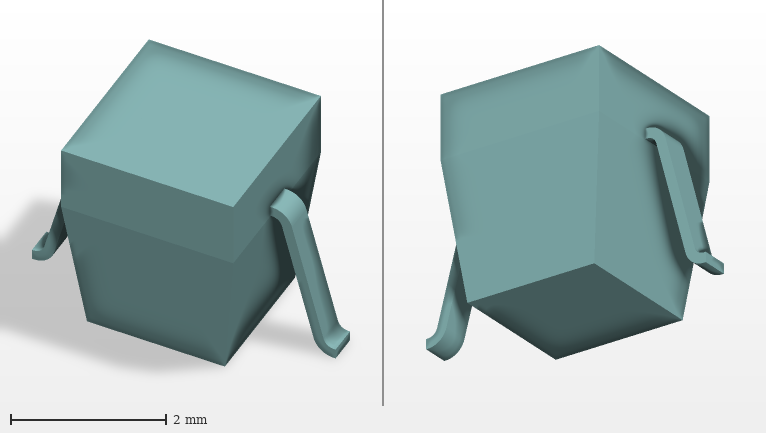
import cadquery as cq
import math

overall_length = 4.39
housing_width = 2.49
housing_height = 2.97
block_height = 0.95
base_height = housing_height - block_height
bottom_width = 1.995

lead_width = 0.41
lead_thickness = 0.15
lead_top = 2.195
inner_bend_radius = 0.15
outer_bend_radius = inner_bend_radius + lead_thickness
bend_angle = math.radians(75)

mark_diameter = 0.125
mark_depth = 0.02
mark_edge_distance = 0.25
mark_x = mark_edge_distance - housing_width / 2


def make_mark():
    return (
        cq.Workplane("XY", origin=(mark_x, 0, housing_height - mark_depth))
        .circle(mark_diameter / 2)
        .extrude(mark_depth)
    )


def make_housing(mark):
    base = (
        cq.Workplane("XY")
        .rect(bottom_width, bottom_width)
        .workplane(offset=base_height)
        .rect(housing_width, housing_width)
        .loft(ruled=True)
    )
    block = (
        cq.Workplane("XY", origin=(0, 0, base_height))
        .rect(housing_width, housing_width)
        .extrude(block_height)
    )
    return base.union(block).cut(mark)


def make_lead(side):
    """Lead on the +X (side = 1) or -X (side = -1) face of the housing."""
    root_x = housing_width / 2
    tip_x = overall_length / 2

    radius_sum = inner_bend_radius + outer_bend_radius
    bend_drop = radius_sum * (1 - math.cos(bend_angle))
    bend_reach = radius_sum * math.sin(bend_angle)
    center_drop = lead_top - lead_thickness
    leg_reach = (center_drop - bend_drop) / math.tan(bend_angle)
    flat_length = (tip_x - root_x - bend_reach - leg_reach) / 2

    upper_center = (root_x + flat_length, lead_top - outer_bend_radius)
    lower_center = (tip_x - flat_length, outer_bend_radius)

    def upper_point(radius, angle):
        x, z = upper_center
        return side * (x + radius * math.sin(angle)), z + radius * math.cos(angle)

    def lower_point(radius, angle):
        x, z = lower_center
        return side * (x - radius * math.sin(angle)), z - radius * math.cos(angle)

    half_angle = bend_angle / 2
    return (
        cq.Workplane("XZ")
        .moveTo(side * root_x, lead_top)
        .lineTo(*upper_point(outer_bend_radius, 0))
        .threePointArc(upper_point(outer_bend_radius, half_angle), upper_point(outer_bend_radius, bend_angle))
        .lineTo(*lower_point(inner_bend_radius, bend_angle))
        .threePointArc(lower_point(inner_bend_radius, half_angle), lower_point(inner_bend_radius, 0))
        .lineTo(side * tip_x, lead_thickness)
        .lineTo(side * tip_x, 0)
        .lineTo(*lower_point(outer_bend_radius, 0))
        .threePointArc(lower_point(outer_bend_radius, half_angle), lower_point(outer_bend_radius, bend_angle))
        .lineTo(*upper_point(inner_bend_radius, bend_angle))
        .threePointArc(upper_point(inner_bend_radius, half_angle), upper_point(inner_bend_radius, 0))
        .lineTo(side * root_x, lead_top - lead_thickness)
        .close()
        .extrude(lead_width / 2, both=True)
    )


mark = make_mark()
housing = make_housing(mark)
leads = [make_lead(side) for side in (-1, 1)]

result = cq.Compound.makeCompound([housing.val(), mark.val(), *[lead.val() for lead in leads]])